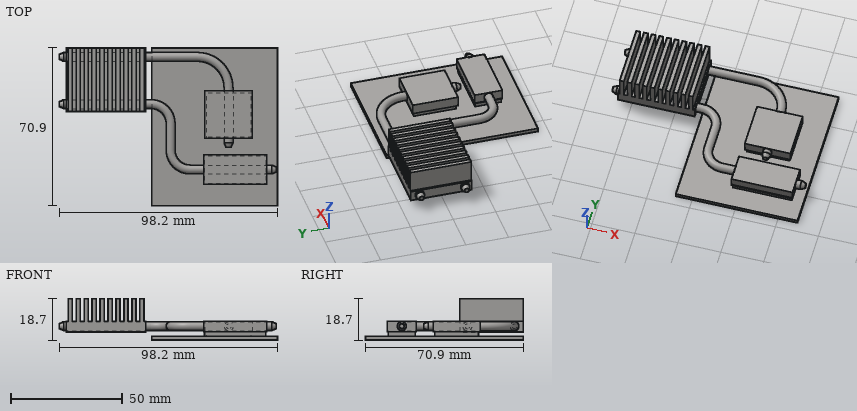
import cadquery as cq

ASSEMBLY_LENGTH = 98.25
BOARD_LENGTH = 56.7
BOARD_WIDTH = 70.9
BOARD_THICKNESS = 1.8
BOARD_LEFT = ASSEMBLY_LENGTH - BOARD_LENGTH

CHIP_THICKNESS = 2.1
PLATE_THICKNESS = 4.7
PLATE_BOTTOM = BOARD_THICKNESS + CHIP_THICKNESS
PLATE_TOP = PLATE_BOTTOM + PLATE_THICKNESS

PIPE_DIAMETER = 4.0
PIPE_RADIUS = PIPE_DIAMETER / 2
PIPE_Z = 6.3
TIP_LENGTH = 2.1
TIP_RADIUS = 1.1

SINK_LEFT = 3.2
SINK_LENGTH = 35.8
SINK_WIDTH = 28.6
SINK_BASE_THICKNESS = 4.9
SINK_BOTTOM = PLATE_TOP - SINK_BASE_THICKNESS
SINK_TOP = 18.7
FIN_COUNT = 10
FIN_PITCH = SINK_LENGTH / FIN_COUNT
FIN_THICKNESS = 2.0

SQUARE_PLATE_SIZE = 21.2
SQUARE_PLATE_X = 76.1
SQUARE_PLATE_Y = 41.0
SQUARE_CHIP_INSET = 0.7

OBLONG_PLATE_LENGTH = 28.4
OBLONG_PLATE_WIDTH = 13.1
OBLONG_PLATE_X = 79.1
OBLONG_PLATE_Y = 16.3
OBLONG_CHIP_INSET = 0.4

REAR_PIPE_Y = 66.9
REAR_BEND_RADIUS = 14.0
REAR_PIPE_END_Y = 26.2

PIPE_SPACING = 21.2
FRONT_PIPE_Y = REAR_PIPE_Y - PIPE_SPACING
FRONT_BEND_RADIUS = 8.7
FRONT_CROSS_X = 50.1
FRONT_PIPE_END_X = 97.7


def block(length, width, height, center_x, center_y, bottom):
    """Box centered on (center_x, center_y) and standing on the height `bottom`."""
    return cq.Workplane("XY").box(length, width, height, (True, True, False)).translate(
        (center_x, center_y, bottom)
    )


def pipe_tip(x, y, direction):
    """Tapered end of a pipe, growing from (x, y) along the given direction."""
    return cq.Workplane(
        cq.Solid.makeCone(
            PIPE_RADIUS, TIP_RADIUS, TIP_LENGTH, cq.Vector(x, y, PIPE_Z), cq.Vector(*direction)
        )
    )


def sweep_pipe(path):
    """Round bar along a path that starts in the +X direction."""
    start = path.val().startPoint()
    section = cq.Workplane(cq.Plane(start, xDir=(0, -1, 0), normal=(1, 0, 0)))
    return section.circle(PIPE_RADIUS).sweep(path)


def make_rear_pipe():
    bend_start_x = SQUARE_PLATE_X - REAR_BEND_RADIUS
    body_end_y = REAR_PIPE_END_Y + TIP_LENGTH
    path = (
        cq.Workplane("XY", origin=(0, 0, PIPE_Z))
        .moveTo(TIP_LENGTH, REAR_PIPE_Y)
        .lineTo(bend_start_x, REAR_PIPE_Y)
        .tangentArcPoint((REAR_BEND_RADIUS, -REAR_BEND_RADIUS))
        .lineTo(SQUARE_PLATE_X, body_end_y)
        .wire()
    )
    return (
        sweep_pipe(path)
        .union(pipe_tip(TIP_LENGTH, REAR_PIPE_Y, (-1, 0, 0)))
        .union(pipe_tip(SQUARE_PLATE_X, body_end_y, (0, -1, 0)))
    )


def make_front_pipe():
    bend = FRONT_BEND_RADIUS
    body_end_x = FRONT_PIPE_END_X - TIP_LENGTH
    path = (
        cq.Workplane("XY", origin=(0, 0, PIPE_Z))
        .moveTo(TIP_LENGTH, FRONT_PIPE_Y)
        .lineTo(FRONT_CROSS_X - bend, FRONT_PIPE_Y)
        .tangentArcPoint((bend, -bend))
        .lineTo(FRONT_CROSS_X, OBLONG_PLATE_Y + bend)
        .tangentArcPoint((bend, -bend))
        .lineTo(body_end_x, OBLONG_PLATE_Y)
        .wire()
    )
    return (
        sweep_pipe(path)
        .union(pipe_tip(TIP_LENGTH, FRONT_PIPE_Y, (-1, 0, 0)))
        .union(pipe_tip(body_end_x, OBLONG_PLATE_Y, (1, 0, 0)))
    )


def make_heat_sink():
    center_x = SINK_LEFT + SINK_LENGTH / 2
    center_y = BOARD_WIDTH - SINK_WIDTH / 2
    sink = block(SINK_LENGTH, SINK_WIDTH, SINK_BASE_THICKNESS, center_x, center_y, SINK_BOTTOM)
    first_fin_x = center_x - FIN_PITCH * (FIN_COUNT - 1) / 2
    for index in range(FIN_COUNT):
        fin_x = first_fin_x + index * FIN_PITCH
        fin = block(FIN_THICKNESS, SINK_WIDTH, SINK_TOP - PLATE_TOP, fin_x, center_y, PLATE_TOP)
        sink = sink.union(fin)
    return sink


def make_board():
    center_x = BOARD_LEFT + BOARD_LENGTH / 2
    return block(BOARD_LENGTH, BOARD_WIDTH, BOARD_THICKNESS, center_x, BOARD_WIDTH / 2, 0)


def make_cold_plate(length, width, center_x, center_y):
    return block(length, width, PLATE_THICKNESS, center_x, center_y, PLATE_BOTTOM)


def make_chip(plate_length, plate_width, inset, center_x, center_y):
    """Chip set back by `inset` from every side of the cold plate above it."""
    length = plate_length - 2 * inset
    width = plate_width - 2 * inset
    return block(length, width, CHIP_THICKNESS, center_x, center_y, BOARD_THICKNESS)


board = make_board()
rear_pipe = make_rear_pipe()
front_pipe = make_front_pipe()

heat_sink = make_heat_sink().cut(rear_pipe).cut(front_pipe)
square_plate = make_cold_plate(
    SQUARE_PLATE_SIZE, SQUARE_PLATE_SIZE, SQUARE_PLATE_X, SQUARE_PLATE_Y
).cut(rear_pipe)
oblong_plate = make_cold_plate(
    OBLONG_PLATE_LENGTH, OBLONG_PLATE_WIDTH, OBLONG_PLATE_X, OBLONG_PLATE_Y
).cut(front_pipe)

square_chip = make_chip(
    SQUARE_PLATE_SIZE, SQUARE_PLATE_SIZE, SQUARE_CHIP_INSET, SQUARE_PLATE_X, SQUARE_PLATE_Y
)
oblong_chip = make_chip(
    OBLONG_PLATE_LENGTH, OBLONG_PLATE_WIDTH, OBLONG_CHIP_INSET, OBLONG_PLATE_X, OBLONG_PLATE_Y
)

result = cq.Compound.makeCompound(
    [
        board.val(),
        heat_sink.val(),
        rear_pipe.val(),
        front_pipe.val(),
        square_plate.val(),
        square_chip.val(),
        oblong_plate.val(),
        oblong_chip.val(),
    ]
)